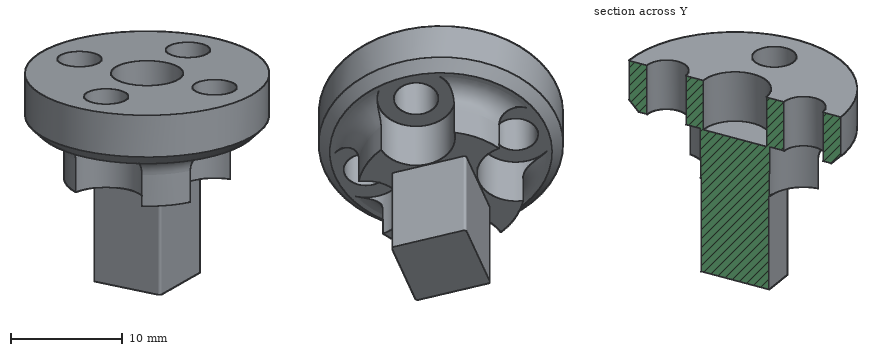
import cadquery as cq
import math

flange_diameter = 22.0
flange_thickness = 5.0
flange_chamfer = 1.0

hub_diameter = 15.0
hub_height = 5.0
hub_fillet = 2.0

shaft_side = 7.07
shaft_length = 9.5
shaft_corner_radius = 0.25

screw_count = 4
screw_hole_diameter = 4.0
screw_head_diameter = 7.0
screw_circle_radius = 7.1

recess_diameter = 6.5
recess_depth = flange_thickness

hub_bottom = shaft_length
flange_bottom = hub_bottom + hub_height
flange_top = flange_bottom + flange_thickness


def flange_and_hub():
    """Revolved body: hub, concave fillet, chamfered flange."""
    hub_radius = hub_diameter / 2
    flange_radius = flange_diameter / 2
    fillet_start = flange_bottom - hub_fillet
    fillet_end = hub_radius + hub_fillet
    arc_inset = hub_fillet * (1 - math.sqrt(0.5))
    profile = (
        cq.Workplane("XZ")
        .moveTo(0, hub_bottom)
        .lineTo(hub_radius, hub_bottom)
        .lineTo(hub_radius, fillet_start)
        .threePointArc(
            (hub_radius + arc_inset, flange_bottom - arc_inset),
            (fillet_end, flange_bottom),
        )
        .lineTo(flange_radius - flange_chamfer, flange_bottom)
        .lineTo(flange_radius, flange_bottom + flange_chamfer)
        .lineTo(flange_radius, flange_top)
        .lineTo(0, flange_top)
        .close()
    )
    return profile.revolve(360, (0, 0, 0), (0, 1, 0))


def square_shaft():
    """Square bar with rounded long edges, from its free end up to the hub."""
    bar = cq.Workplane("XY").rect(shaft_side, shaft_side).extrude(shaft_length)
    return bar.edges("|Z").fillet(shaft_corner_radius)


def round_cutters(diameter, bottom, top):
    """Vertical cylinders on the screw circle between two levels."""
    return (
        cq.Workplane("XY", origin=(0, 0, bottom))
        .polarArray(screw_circle_radius, 0, 360, screw_count)
        .circle(diameter / 2)
        .extrude(top - bottom)
    )


def centre_recess():
    """Cylinder that sinks the recess into the flange face."""
    return (
        cq.Workplane("XY", origin=(0, 0, flange_top - recess_depth))
        .circle(recess_diameter / 2)
        .extrude(recess_depth)
    )


body = flange_and_hub()
body = body.cut(round_cutters(screw_head_diameter, hub_bottom, flange_bottom))
body = body.cut(round_cutters(screw_hole_diameter, flange_bottom, flange_top))
body = body.cut(centre_recess())

result = body.union(square_shaft())